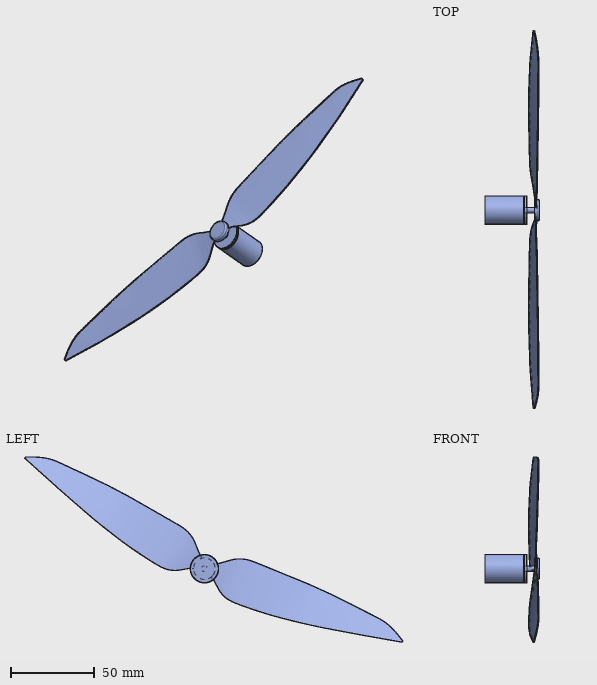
import cadquery as cq
import math

TILT = 26.0

MOTOR_LENGTH = 25.0
MOTOR_RADIUS = 8.5
GROOVE_WIDTH = 0.6
GROOVE_DEPTH = 0.3
GROOVE_START = 23.1

SHAFT_RADIUS = 1.75
SHAFT_SOCKET_DEPTH = 2.0

HUB_BACK = 29.7
HUB_FRONT = 32.64
HUB_RADIUS = 6.4
HUB_FILLET = 1.0

BLADE_THICKNESS = 0.7
TWIST_STATIONS = 10
SLAB_LENGTH = 127.0
SLAB_BOTTOM = -14.0
SLAB_TOP = 23.0

TWIST_AXIS_HEIGHT = 19.0
ROOT_BLEND_LENGTH = 13.0
TIP_GROWTH_POWER = 2.0
ROOT_PITCH = 0.14
TIP_PITCH_GAIN = 0.33
AXIS_X_AT_HUB = 30.9
ROOT_AXIS_SHIFT = 0.45
TIP_AXIS_SHIFT = 0.8

TIP_RADIUS = 125.05
TIP_HEIGHT = 12.7
TIP_HALF_WIDTH = 0.5
ROOT_HALF_WIDTH = 3.2
OUTLINE_DEPTH = 40.0
LEADING_EDGE = [(5.0, 5.6), (14.0, 13.2), (20.0, 15.9), (28.0, 16.9), (60.0, 19.0), (84.0, 19.4),
                (100.0, 19.1), (112.0, 18.3), (118.0, 16.4)]
TRAILING_EDGE = [(8.0, -3.8), (14.0, -8.0), (20.0, -10.2), (28.0, -10.2), (60.0, -5.2), (92.0, 2.8)]


def x_cylinder(radius, start, end):
    return cq.Workplane("YZ").workplane(offset=start).circle(radius).extrude(end - start)


def make_shaft():
    return x_cylinder(SHAFT_RADIUS, MOTOR_LENGTH - SHAFT_SOCKET_DEPTH, HUB_BACK)


def make_motor(shaft):
    groove_end = GROOVE_START + GROOVE_WIDTH
    groove_floor = x_cylinder(MOTOR_RADIUS - GROOVE_DEPTH, GROOVE_START, groove_end)
    groove = x_cylinder(MOTOR_RADIUS, GROOVE_START, groove_end).cut(groove_floor)
    return x_cylinder(MOTOR_RADIUS, 0, MOTOR_LENGTH).cut(groove).cut(shaft)


def blade_section(radius):
    """Thin slanted rectangle across the slab at one distance from the hub axis."""
    root_blend = 1 - math.exp(-(radius / ROOT_BLEND_LENGTH) ** 2)
    tip_growth = (radius / SLAB_LENGTH) ** TIP_GROWTH_POWER
    pitch = ROOT_PITCH * root_blend + TIP_PITCH_GAIN * tip_growth
    axis_x = AXIS_X_AT_HUB + ROOT_AXIS_SHIFT * root_blend + TIP_AXIS_SHIFT * tip_growth
    bottom_x = axis_x + pitch * (SLAB_BOTTOM - TWIST_AXIS_HEIGHT)
    top_x = axis_x + pitch * (SLAB_TOP - TWIST_AXIS_HEIGHT)
    half = BLADE_THICKNESS / 2
    corners = [
        cq.Vector(bottom_x - half, radius, SLAB_BOTTOM),
        cq.Vector(bottom_x + half, radius, SLAB_BOTTOM),
        cq.Vector(top_x + half, radius, SLAB_TOP),
        cq.Vector(top_x - half, radius, SLAB_TOP),
    ]
    return cq.Wire.makePolygon(corners, close=True)


def make_blade():
    radii = [SLAB_LENGTH * step / TWIST_STATIONS for step in range(TWIST_STATIONS + 1)]
    slab = cq.Solid.makeLoft([blade_section(radius) for radius in radii])
    leading_tip = (TIP_RADIUS, TIP_HEIGHT + TIP_HALF_WIDTH)
    trailing_tip = (TIP_RADIUS, TIP_HEIGHT - TIP_HALF_WIDTH)
    trailing_root = (0.0, -ROOT_HALF_WIDTH)
    outline = (
        cq.Workplane("YZ")
        .moveTo(0, ROOT_HALF_WIDTH)
        .spline([*LEADING_EDGE, leading_tip], includeCurrent=True)
        .lineTo(*trailing_tip)
        .spline([*reversed(TRAILING_EDGE), trailing_root], includeCurrent=True)
        .close()
        .extrude(OUTLINE_DEPTH)
    )
    return outline.intersect(cq.Workplane(slab))


def make_propeller():
    hub = x_cylinder(HUB_RADIUS, HUB_BACK, HUB_FRONT).faces(">X").edges().fillet(HUB_FILLET)
    blade = make_blade()
    return hub.union(blade).union(blade.mirror("XZ"))


def tilt(body):
    return body.rotate((0, 0, 0), (1, 0, 0), TILT)


upright_shaft = make_shaft()
motor = tilt(make_motor(upright_shaft))
shaft = tilt(upright_shaft)
propeller = tilt(make_propeller())
result = cq.Compound.makeCompound([motor.solids().val(), shaft.solids().val(), propeller.solids().val()])